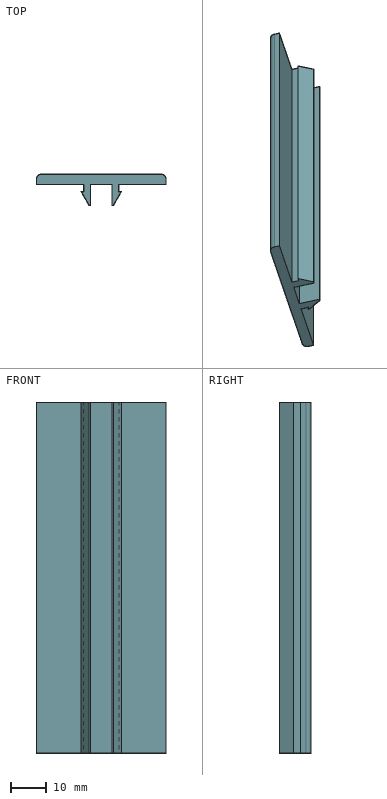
import cadquery as cq

length = 100.0
plate_width = 37.0
plate_thickness = 3.0
edge_radius = 1.5

total_depth = 9.0
leg_gap = 6.0
leg_thickness = 2.0
tip_thickness = 0.45
barb_overhang = 0.75
barb_drop = 2.0

half_width = plate_width / 2
leg_inner = leg_gap / 2
leg_outer = leg_inner + leg_thickness
barb_outer = leg_outer + barb_overhang
tip_outer = leg_inner + tip_thickness
tip_y = plate_thickness - total_depth


def make_plate():
    """Flat strip with its two long outer edges rounded."""
    strip = (
        cq.Workplane("XY")
        .moveTo(-half_width, 0)
        .lineTo(half_width, 0)
        .lineTo(half_width, plate_thickness)
        .lineTo(-half_width, plate_thickness)
        .close()
        .extrude(length)
    )
    return strip.faces(">Y").edges("|Z").fillet(edge_radius)


def make_leg(side):
    """Barbed leg on the given side (-1 or +1), rooted inside the plate."""
    root_y = plate_thickness / 2
    section = [
        (leg_inner, root_y),
        (leg_outer, root_y),
        (leg_outer, -barb_drop),
        (barb_outer, -barb_drop),
        (tip_outer, tip_y),
        (leg_inner, tip_y),
    ]
    return (
        cq.Workplane("XY")
        .polyline([(side * x, y) for x, y in section])
        .close()
        .extrude(length)
    )


result = make_plate()
for side in (-1, 1):
    result = result.union(make_leg(side))